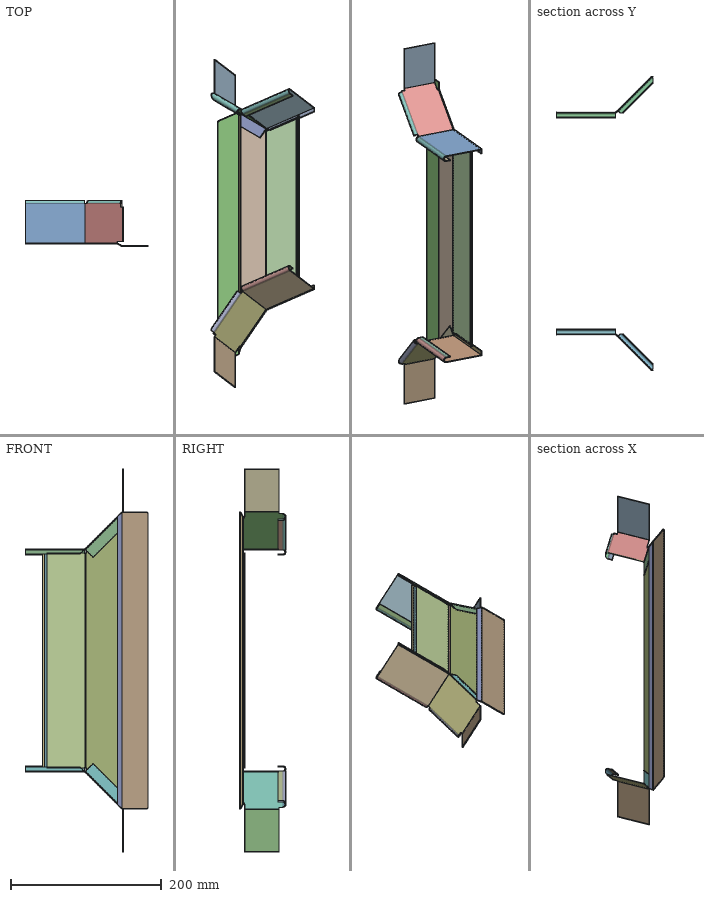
import cadquery as cq
import math


sheet = 1.25
length = 163.11
total_height = 61.25
total_width = 508.27

mouth_y = 3.6
channel_y = mouth_y + sheet
tongue_y = channel_y + sheet

tongue_start = 22.6
tongue_end = 25.7
channel_start = 28.7
corner_x = 79.0
mouth_step_run = 1.8
mouth_start = corner_x + mouth_step_run
joggle_start = 122.1
tab_x = 128.8
flange_setback = 0.6
flange_start = tab_x - flange_setback

wall_z = 148.0
channel_half = 142.5
flare = math.sqrt(0.5)
tab_start_z = wall_z + tab_x - corner_x
flange_half = wall_z + flange_start - corner_x
flange_corner_radius = 2.5

curl_radius = 4.0
curl_center_y = total_height - curl_radius
curl_return_y = 51.0
straight_lip = 6.8
flared_lip = 15.5
curl_gap = 0.4
flared_curl_start = 3.2
flared_curl_end = 66.5
curl_limit_x = tab_x - curl_gap
tab_low_y = 6.5
tab_high_y = 52.5
relief_z = 195.5


def flared_point(along, inward):
    """Plan point measured from the wall corner, along and inward of the flared run."""
    return (corner_x + (along + inward) * flare, wall_z + (along - inward) * flare)


def plan_prism(points, low_y, high_y):
    """Prism with an (X, Z) outline, standing between two Y levels."""
    outline = cq.Workplane("XZ", origin=(0, low_y, 0)).polyline(points).close()
    return outline.extrude(low_y - high_y)


def make_floor():
    front = [
        (tongue_start, tongue_y),
        (tongue_end, tongue_y),
        (channel_start, channel_y),
        (corner_x, channel_y),
        (mouth_start, mouth_y),
        (joggle_start, mouth_y),
        (flange_start, 0),
        (length, 0),
    ]
    back = [(x, y + sheet) for x, y in reversed(front)]
    stepped_sheet = cq.Workplane("XY").polyline(front + back).close()
    stepped_sheet = stepped_sheet.extrude(flange_half, both=True)

    lip_start_depth = (mouth_start - corner_x) / flare
    lip_line_length = (joggle_start - corner_x) / flare - flared_lip
    upper = [
        (tongue_start, channel_half),
        (mouth_start, channel_half),
        flared_point(0, lip_start_depth),
        flared_point(0, flared_lip),
        flared_point(lip_line_length, flared_lip),
        (joggle_start, wall_z + joggle_start - corner_x),
        (flange_start, flange_half),
        (length, flange_half),
    ]
    lower = [(x, -z) for x, z in reversed(upper)]
    outline = plan_prism(upper + lower, 0, total_height)
    floor = stepped_sheet.intersect(outline)
    return floor.edges("|Y and >X").fillet(flange_corner_radius)


straight_plane = cq.Plane(origin=(0, 0, wall_z), xDir=(0, 0, -1), normal=(1, 0, 0))
flared_plane = cq.Plane(origin=(corner_x, 0, wall_z), xDir=(1, 0, -1), normal=(1, 0, 1))


def make_curl(plane, start, end):
    """Half-round rolled edge with a straight return, along one run of the wall."""
    middle = curl_radius
    inner = curl_radius - sheet
    far = 2 * curl_radius
    profile = (
        cq.Workplane(plane).workplane(offset=start)
        .moveTo(0, curl_center_y)
        .threePointArc((middle, curl_center_y + curl_radius), (far, curl_center_y))
        .lineTo(far, curl_return_y)
        .lineTo(far - sheet, curl_return_y)
        .lineTo(far - sheet, curl_center_y)
        .threePointArc((middle, curl_center_y + inner), (sheet, curl_center_y))
        .close()
    )
    return profile.extrude(end - start)


def make_lip(plane, width, run):
    """Flat lip turned inward from the front edge of the web."""
    profile = cq.Workplane(plane).moveTo(0, mouth_y).lineTo(width, mouth_y)
    profile = profile.lineTo(width, channel_y).lineTo(0, channel_y).close()
    return profile.extrude(run)


def make_web():
    """Upright sheet: straight run, flared run and end tab, with mitred bends."""
    miter = sheet * math.tan(math.radians(45 / 2))
    outline = [
        (0, wall_z),
        (corner_x, wall_z),
        (tab_x, tab_start_z),
        (tab_x, total_width / 2),
        (tab_x + sheet, total_width / 2),
        (tab_x + sheet, tab_start_z - miter),
        (corner_x + miter, wall_z - sheet),
        (0, wall_z - sheet),
    ]
    return plan_prism(outline, mouth_y, curl_center_y)


def clearance_block(x, y, z):
    """Trimming block, larger than the wall, with its lowest corner at (x, y, z)."""
    block = cq.Workplane("XY").box(length, total_height, total_width, centered=False)
    return block.translate((x, y, z))


def make_wall():
    straight_lip_end = [
        (corner_x, wall_z),
        (corner_x, wall_z - straight_lip),
        (corner_x - straight_lip, wall_z - straight_lip),
    ]
    straight_edge = make_lip(straight_plane, straight_lip, corner_x)
    straight_edge = straight_edge.cut(plan_prism(straight_lip_end, 0, channel_y))

    flared_run = (joggle_start - corner_x) / flare
    flared_edge = make_lip(flared_plane, flared_lip, flared_run)
    lip_clearance = clearance_block(joggle_start, tab_low_y - total_height, 0)
    tab_clearance = clearance_block(0, tab_high_y, relief_z)

    wall = (
        make_web()
        .union(straight_edge)
        .union(flared_edge)
        .cut(lip_clearance)
        .cut(tab_clearance)
    )
    straight_curl = make_curl(straight_plane, 0, corner_x - curl_gap)
    flared_curl = make_curl(flared_plane, flared_curl_start, flared_curl_end)
    straight_curl_clearance = clearance_block(0, 0, wall_z - sheet - total_width)
    flared_curl = flared_curl.cut(clearance_block(curl_limit_x, 0, 0)).cut(straight_curl_clearance)
    return wall.union(straight_curl).union(flared_curl)


floor = make_floor()
upper_wall = make_wall()
walls = [upper_wall, upper_wall.mirror("XY")]

result = cq.Compound.makeCompound([floor.val(), *[wall.val() for wall in walls]])